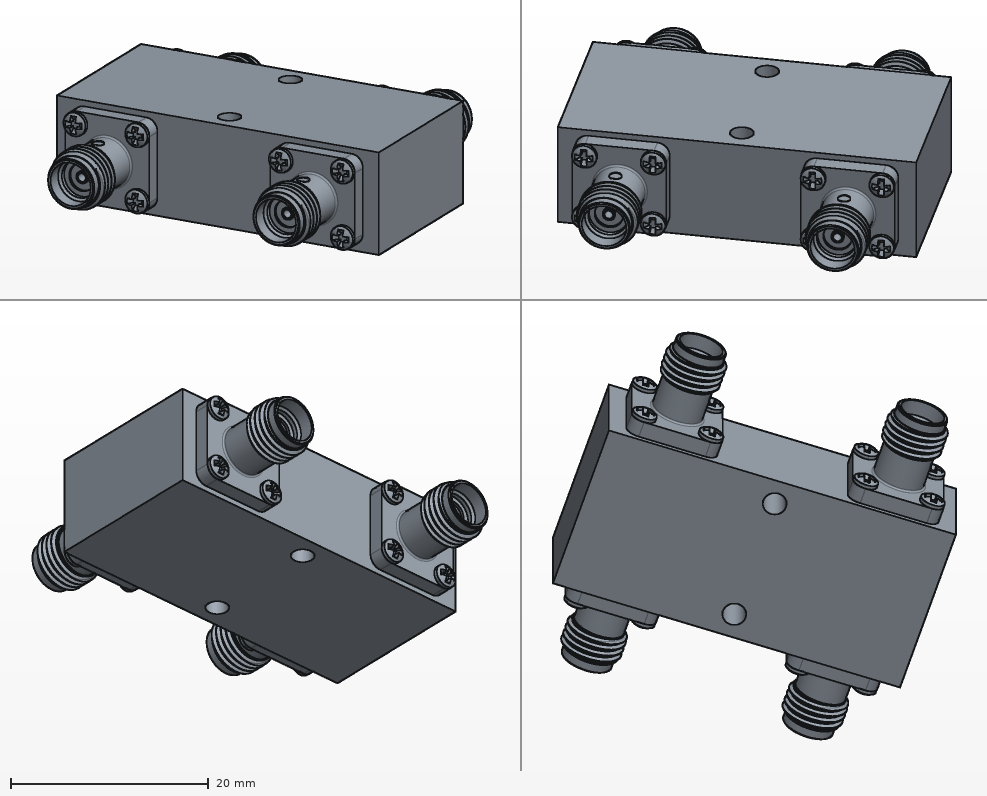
import cadquery as cq
import math

body_length = 37.0
body_depth = 18.0
body_height = 11.0
mount_hole_diameter = 2.4
mount_hole_spacing = 13.0

connector_spacing = 23.6
connector_length = 9.525

flange_thickness = 1.7
screw_spacing = 7.1
flange_corner_radius = 1.3
flange_side = screw_spacing + 2 * flange_corner_radius
screw_head_radius = 1.27
screw_rim_height = 0.4
screw_dome_height = 0.46
cross_top_length = 2.4
cross_top_width = 0.65
cross_floor_length = 0.95
cross_floor_width = 0.5
cross_depth = 0.7

barrel_radius = 2.67
barrel_base_fillet = 0.2
barrel_tip_chamfer = 0.12
vent_hole_diameter = 1.3
vent_hole_height = 3.7
vent_hole_depth = 0.1

mouth_radius = 2.3
mouth_depth = 1.6
inner_radius = 2.03
bore_cone_length = 0.3
bore_depth = 2.4
contact_gap_radius = 1.46
contact_gap_depth = 0.3
pin_radius = 0.635
pin_socket_radius = 0.45
pin_socket_depth = 1.5

thread_pitch = 25.4 / 36
thread_crest_radius = 3.175
thread_root_radius = 2.78
thread_end_radius = 2.74
thread_start = 5.35
thread_end = 8.5
thread_groove_height = 4.555
thread_groove_turns = 5.6
thread_crest_flat = thread_pitch / 8
thread_half_angle = math.radians(30)
thread_overcut = 0.03


def cylinder(radius, start, end):
    """Cylinder along the local Z axis from height start to height end."""
    return cq.Workplane("XY").workplane(offset=start).circle(radius).extrude(end - start)


def revolved(points):
    """Solid of revolution about the local Z axis from (radius, height) points."""
    return cq.Workplane("XZ").polyline(points).close().revolve(360, (0, 0), (0, 1))


def make_body():
    block = cq.Workplane("XY").box(body_length, body_depth, body_height)
    return block.faces(">Z").workplane().rarray(1, mount_hole_spacing, 1, 2).hole(mount_hole_diameter)


def make_screw_head():
    """Domed head with a tapered cross recess, standing on the local XY plane."""
    top = screw_rim_height + screw_dome_height
    dome_radius = (screw_head_radius**2 + screw_dome_height**2) / (2 * screw_dome_height)
    half_angle = math.asin(screw_head_radius / dome_radius) / 2
    arc_middle = (
        dome_radius * math.sin(half_angle),
        top - dome_radius * (1 - math.cos(half_angle)),
    )
    head = (
        cq.Workplane("XZ")
        .lineTo(screw_head_radius, 0)
        .lineTo(screw_head_radius, screw_rim_height)
        .threePointArc(arc_middle, (0, top))
        .close()
        .revolve(360, (0, 0), (0, 1))
    )
    arm = (
        cq.Workplane("XY")
        .workplane(offset=top)
        .rect(cross_top_length, cross_top_width)
        .workplane(offset=-cross_depth)
        .rect(cross_floor_length, cross_floor_width)
        .loft(ruled=True)
    )
    return head.cut(arm).cut(arm.rotate((0, 0, 0), (0, 0, 1), 90))


def make_flange():
    flange = (
        cq.Workplane("XY")
        .rect(flange_side, flange_side)
        .extrude(flange_thickness)
        .edges("|Z")
        .fillet(flange_corner_radius)
    )
    head = make_screw_head()
    half = screw_spacing / 2
    for x in (-half, half):
        for y in (-half, half):
            flange = flange.union(head.translate((x, y, flange_thickness)))
    return flange


def make_thread():
    """Threaded sleeve: a blank with 45 degree ends, cut by one helical groove."""
    end_chamfer = thread_crest_radius - thread_end_radius
    blank = revolved(
        [
            (0, thread_start),
            (thread_end_radius, thread_start),
            (thread_crest_radius, thread_start + end_chamfer),
            (thread_crest_radius, thread_end - end_chamfer),
            (thread_end_radius, thread_end),
            (0, thread_end),
        ]
    )
    slope = math.tan(thread_half_angle)
    crest_half_width = (thread_pitch - thread_crest_flat) / 2
    root_half_width = crest_half_width - (thread_crest_radius - thread_root_radius) * slope
    outer_half_width = crest_half_width + thread_overcut * slope
    outer_radius = thread_crest_radius + thread_overcut
    path = cq.Wire.makeHelix(thread_pitch, thread_groove_turns * thread_pitch, thread_root_radius)
    groove = (
        cq.Workplane("XZ")
        .polyline(
            [
                (thread_root_radius, -root_half_width),
                (outer_radius, -outer_half_width),
                (outer_radius, outer_half_width),
                (thread_root_radius, root_half_width),
            ]
        )
        .close()
        .sweep(cq.Workplane(path), isFrenet=True)
        .translate((0, 0, thread_groove_height))
    )
    return blank.cut(groove)


def make_bore():
    """Stepped bore of the connector mouth."""
    tip = connector_length
    return revolved(
        [
            (0, tip),
            (mouth_radius, tip),
            (mouth_radius, tip - mouth_depth),
            (inner_radius, tip - mouth_depth - bore_cone_length),
            (inner_radius, tip - bore_depth),
            (contact_gap_radius, tip - bore_depth),
            (contact_gap_radius, tip - bore_depth - contact_gap_depth),
            (0, tip - bore_depth - contact_gap_depth),
        ]
    )


def make_connector():
    """Connector standing on the local XY plane; its vent hole faces local -Y."""
    barrel = cylinder(barrel_radius, 0, connector_length).faces(">Z").chamfer(barrel_tip_chamfer)
    base = flange_thickness
    fillet_top = base + barrel_base_fillet
    fillet_foot = barrel_radius + barrel_base_fillet
    bend = barrel_base_fillet * (1 - math.sqrt(0.5))
    collar = (
        cq.Workplane("XZ")
        .moveTo(0, base)
        .lineTo(fillet_foot, base)
        .threePointArc((barrel_radius + bend, base + bend), (barrel_radius, fillet_top))
        .lineTo(0, fillet_top)
        .close()
        .revolve(360, (0, 0), (0, 1))
    )
    vent_hole = (
        cq.Workplane("XZ", origin=(0, vent_hole_depth - barrel_radius, vent_hole_height))
        .circle(vent_hole_diameter / 2)
        .extrude(barrel_radius)
    )
    contact_floor = connector_length - bore_depth - contact_gap_depth
    pin_tip = connector_length - bore_depth
    pin = cylinder(pin_radius, contact_floor, pin_tip)
    pin_socket = cylinder(pin_socket_radius, pin_tip - pin_socket_depth, pin_tip)
    outside = barrel.union(collar).cut(vent_hole).union(make_thread())
    inside = outside.cut(make_bore()).union(pin).cut(pin_socket)
    return make_flange().union(inside)


def make_part():
    part = make_body()
    connector = (
        make_connector()
        .rotate((0, 0, 0), (1, 0, 0), -90)
        .translate((0, body_depth / 2, 0))
    )
    for side_angle in (0, 180):
        turned = connector.rotate((0, 0, 0), (0, 0, 1), side_angle)
        for x in (-connector_spacing / 2, connector_spacing / 2):
            part = part.union(turned.translate((x, 0, 0)))
    return part


result = make_part()